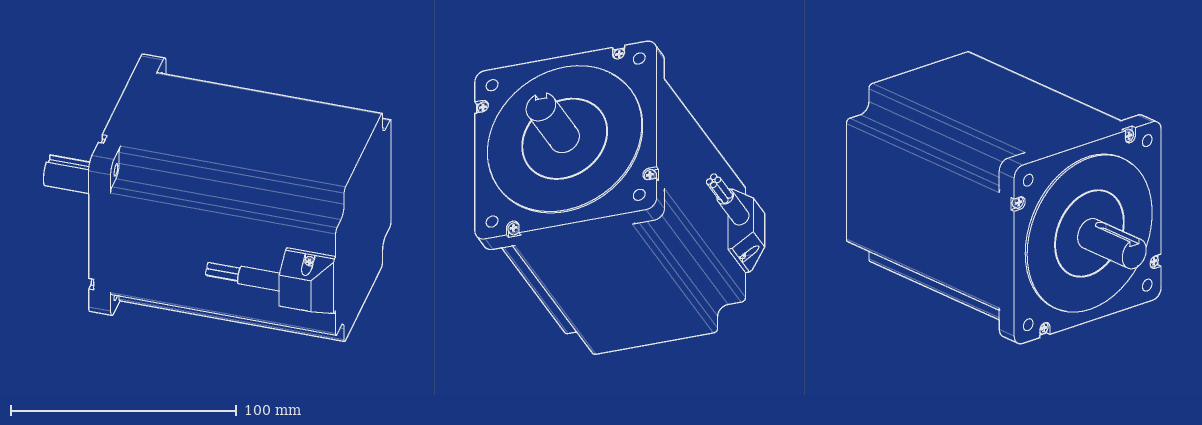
import cadquery as cq
import math

OVERALL_LENGTH = 146.0
FLANGE_FRONT = 31.7
FLANGE_THICKNESS = 10.2
PILOT_HEIGHT = 1.3

FRAME_SIZE = 85.8
FRAME_HALF = FRAME_SIZE / 2
FLANGE_CORNER_RADIUS = 5.0

MOUNT_HOLE_PITCH = 69.5
MOUNT_HOLE_DIAMETER = 5.5
SCALLOP_RADIUS = 5.0
BODY_EDGE_RADIUS = 2.0

PILOT_DIAMETER = 73.0
RING_GROOVE_DIAMETER = 40.5
RING_GROOVE_WIDTH = 0.3
RING_GROOVE_DEPTH = 0.3

SHAFT_DIAMETER = 14.0
KEYWAY_WIDTH = 5.3
KEYWAY_DEPTH = 2.9
KEYWAY_END = 25.0

SCREW_ALONG_EDGE = 25.0
SCREW_FROM_AXIS = 39.4
SCREW_POCKET_WIDTH = 5.8
SCREW_POCKET_DEPTH = 2.3
SCREW_HEAD_DIAMETER = 5.4
SCREW_HEAD_HEIGHT = 1.5

BOX_LENGTH = 22.6
BOX_HEIGHT = 12.0
BOX_BASE_WIDTH = 30.4
BOX_TOP_WIDTH = 17.2
BOX_WALL = 1.9
BOX_REAR_CHAMFER_LENGTH = 7.9
BOX_REAR_WALL = 3.2
BOX_SCREW_X = 134.8
BOX_SCREW_Z = 12.0
BOX_SCREW_POCKET_WIDTH = 4.5
BOX_SCREW_HEAD_DIAMETER = 4.2
BOX_SCREW_HEAD_HEIGHT = 1.5

CABLE_OFFSET = 6.0
CABLE_DIAMETER = 7.9
CABLE_START = 103.5
WIRE_START = 88.6
WIRE_DIAMETER = 2.8
WIRE_CIRCLE_RADIUS = 2.0

HEAD_RIM_RADIUS = 0.3
DRIVE_TO_HEAD_RATIO = 0.6
DRIVE_SLOT_WIDTH = 0.7
DRIVE_SLOT_DEPTH = 0.7

QUARTER_TURNS = (0, 90, 180, 270)

FLANGE_BACK = FLANGE_FRONT + FLANGE_THICKNESS
PILOT_FRONT = FLANGE_FRONT - PILOT_HEIGHT
BOX_FRONT = OVERALL_LENGTH - BOX_LENGTH
CABLE_Y = -FRAME_HALF - CABLE_OFFSET


def section(x):
    """Sketch plane across the shaft axis: local x is Y, local y is Z, extrusion runs along +X."""
    return cq.Workplane("YZ", origin=(x, 0, 0))


def rod(x_start, x_end, diameter, y=0.0, z=0.0):
    return section(x_start).center(y, z).circle(diameter / 2).extrude(x_end - x_start)


def make_flange():
    flange = section(FLANGE_FRONT).rect(FRAME_SIZE, FRAME_SIZE).extrude(FLANGE_THICKNESS)
    flange = flange.edges("|X").fillet(FLANGE_CORNER_RADIUS)
    holes = (
        section(FLANGE_FRONT)
        .rect(MOUNT_HOLE_PITCH, MOUNT_HOLE_PITCH, forConstruction=True)
        .vertices()
        .circle(MOUNT_HOLE_DIAMETER / 2)
        .extrude(FLANGE_THICKNESS)
    )
    return flange.cut(holes)


def make_body():
    """Square body whose four long corners are scalloped to clear the mounting screws."""
    body_length = OVERALL_LENGTH - FLANGE_BACK
    scallop_centre = MOUNT_HOLE_PITCH / 2
    notch_inner = scallop_centre - SCALLOP_RADIUS
    notch_size = FRAME_HALF - notch_inner
    notch_middle = FRAME_HALF - notch_size / 2
    body = section(FLANGE_BACK).rect(FRAME_SIZE, FRAME_SIZE).extrude(body_length)
    for y_side in (-1, 1):
        for z_side in (-1, 1):
            notch = (
                section(FLANGE_BACK)
                .center(y_side * notch_middle, z_side * notch_middle)
                .rect(notch_size, notch_size)
                .extrude(body_length)
            )
            inner_edge = cq.selectors.NearestToPointSelector(
                (FLANGE_BACK + body_length / 2, y_side * notch_inner, z_side * notch_inner)
            )
            body = body.cut(notch.edges(inner_edge).fillet(SCALLOP_RADIUS))
    outer_edges = body.edges("|X").filter(
        lambda edge: max(abs(edge.Center().y), abs(edge.Center().z)) > FRAME_HALF - BODY_EDGE_RADIUS
    )
    return outer_edges.fillet(BODY_EDGE_RADIUS)


def make_pilot():
    pilot = rod(PILOT_FRONT, FLANGE_FRONT, PILOT_DIAMETER)
    groove = (
        section(PILOT_FRONT)
        .circle(RING_GROOVE_DIAMETER / 2)
        .circle(RING_GROOVE_DIAMETER / 2 - RING_GROOVE_WIDTH)
        .extrude(RING_GROOVE_DEPTH)
    )
    return pilot.cut(groove)


def make_shaft():
    """Shaft with a keyway on +Z, open at the tip and round at its inner end."""
    shaft = rod(0, FLANGE_FRONT, SHAFT_DIAMETER)
    straight_end = KEYWAY_END - KEYWAY_WIDTH / 2
    keyway = (
        cq.Workplane("XY", origin=(0, 0, SHAFT_DIAMETER / 2 - KEYWAY_DEPTH))
        .moveTo(0, -KEYWAY_WIDTH / 2)
        .lineTo(straight_end, -KEYWAY_WIDTH / 2)
        .threePointArc((KEYWAY_END, 0), (straight_end, KEYWAY_WIDTH / 2))
        .lineTo(0, KEYWAY_WIDTH / 2)
        .close()
        .extrude(KEYWAY_DEPTH)
    )
    return shaft.cut(keyway)


def make_screw_head(diameter, height):
    """Round-rimmed screw head standing on the XY plane, with a cross recess in its top."""
    head = cq.Workplane("XY").circle(diameter / 2).extrude(height)
    head = head.faces(">Z").edges().fillet(HEAD_RIM_RADIUS)
    slot_length = diameter * DRIVE_TO_HEAD_RATIO
    slots = (
        cq.Workplane("XY", origin=(0, 0, height - DRIVE_SLOT_DEPTH))
        .rect(slot_length, DRIVE_SLOT_WIDTH)
        .extrude(DRIVE_SLOT_DEPTH)
    )
    return head.cut(slots).cut(slots.rotate((0, 0, 0), (0, 0, 1), 90))


def make_screw_pocket(width, edge_distance, depth):
    """U-shaped pocket on the XY plane, round about the origin and open towards +Y."""
    radius = width / 2
    return (
        cq.Workplane("XY")
        .moveTo(radius, edge_distance)
        .lineTo(radius, 0)
        .threePointArc((0, -radius), (-radius, 0))
        .lineTo(-radius, edge_distance)
        .close()
        .extrude(depth)
    )


def add_flange_screws(motor):
    """Four sunk screws, a quarter turn apart about the shaft axis."""
    pocket = make_screw_pocket(SCREW_POCKET_WIDTH, FRAME_HALF - SCREW_FROM_AXIS, SCREW_POCKET_DEPTH)
    head = make_screw_head(SCREW_HEAD_DIAMETER, SCREW_HEAD_HEIGHT)
    pocket_floor = cq.Plane(
        origin=(FLANGE_FRONT + SCREW_POCKET_DEPTH, -SCREW_ALONG_EDGE, SCREW_FROM_AXIS),
        xDir=(0, -1, 0),
        normal=(-1, 0, 0),
    )
    placed_pocket = cq.Workplane(pocket.val().moved(pocket_floor.location))
    placed_head = cq.Workplane(head.val().moved(pocket_floor.location))
    for angle in QUARTER_TURNS:
        motor = motor.cut(placed_pocket.rotate((0, 0, 0), (1, 0, 0), angle))
        motor = motor.union(placed_head.rotate((0, 0, 0), (1, 0, 0), angle))
    return motor


def make_cable_box():
    """Box with two sloping sides, a sloping rear and a sunk screw on each sloping side."""
    side_y = -FRAME_HALF
    wall_y = side_y - BOX_WALL
    top_y = side_y - BOX_HEIGHT
    base_half = BOX_BASE_WIDTH / 2
    top_half = BOX_TOP_WIDTH / 2
    box = (
        section(BOX_FRONT)
        .polyline(
            [
                (side_y, -base_half),
                (wall_y, -base_half),
                (top_y, -top_half),
                (top_y, top_half),
                (wall_y, base_half),
                (side_y, base_half),
            ]
        )
        .close()
        .extrude(BOX_LENGTH)
    )
    rear_slope = (
        cq.Workplane("XY")
        .moveTo(OVERALL_LENGTH - BOX_REAR_CHAMFER_LENGTH, top_y)
        .lineTo(OVERALL_LENGTH, top_y)
        .lineTo(OVERALL_LENGTH, side_y - BOX_REAR_WALL)
        .close()
        .extrude(base_half, both=True)
    )
    box = box.cut(rear_slope)

    pocket = make_screw_pocket(
        BOX_SCREW_POCKET_WIDTH, base_half - BOX_SCREW_Z, BOX_HEIGHT - BOX_WALL
    )
    head = make_screw_head(BOX_SCREW_HEAD_DIAMETER, BOX_SCREW_HEAD_HEIGHT)
    for z_side in (-1, 1):
        pocket_floor = cq.Plane(
            origin=(BOX_SCREW_X, wall_y, z_side * BOX_SCREW_Z),
            xDir=(z_side, 0, 0),
            normal=(0, -1, 0),
        )
        box = box.cut(cq.Workplane(pocket.val().moved(pocket_floor.location)))
        box = box.union(cq.Workplane(head.val().moved(pocket_floor.location)))
    return box


def make_cable():
    """Sheathed cable leaving the box towards the shaft end, with four bared wires."""
    cable = rod(CABLE_START, BOX_FRONT, CABLE_DIAMETER, CABLE_Y)
    for angle in QUARTER_TURNS:
        wire_y = CABLE_Y + WIRE_CIRCLE_RADIUS * math.cos(math.radians(angle))
        wire_z = WIRE_CIRCLE_RADIUS * math.sin(math.radians(angle))
        cable = cable.union(rod(WIRE_START, CABLE_START, WIRE_DIAMETER, wire_y, wire_z))
    return cable


motor = make_flange().union(make_body()).union(make_pilot()).union(make_shaft())
motor = add_flange_screws(motor)
result = motor.union(make_cable_box()).union(make_cable())